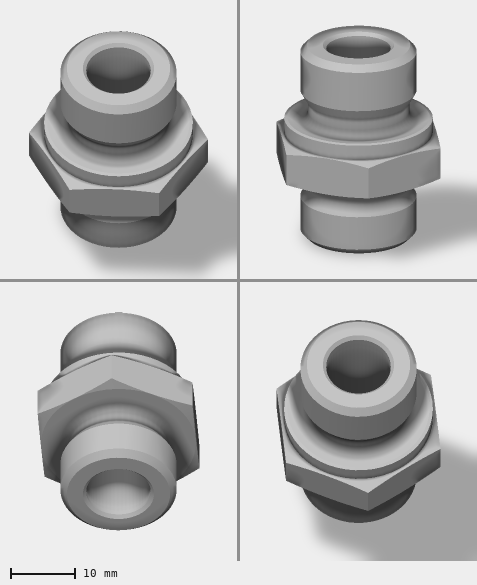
import cadquery as cq
import math

length = 31.5
hex_bottom = 11.0
hex_top = 17.0
collar_top = 19.5
lower_stud_end = 6.43
upper_stud_end = 24.1

stud_radius = 18.0 / 2
stud_chamfer = 1.0
groove_radius = 15.7 / 2
taper_angle = math.radians(30)
groove_blend = 1.0
bore_radius = 10.0 / 2
bore_chamfer = 0.5

collar_radius = 23.0 / 2
lip_radius = 11.0
lip_bevel_height = 0.13
seal_blend = 1.2
seal_angle = math.radians(8)

across_flats = 24.0
across_corners = across_flats / math.cos(math.pi / 6)
hex_chamfer_radius = 11.97
hex_chamfer_angle = math.radians(15)


def stud_profile(root_z, stud_end_z, end_z):
    """Half section of a chamfered stud and the tapered start of its groove."""
    outward = math.copysign(1, end_z - root_z)
    taper_length = (stud_radius - groove_radius) / math.tan(taper_angle)
    corner_z = stud_end_z - outward * taper_length
    tangent = groove_blend * math.tan(taper_angle / 2)
    groove_end_z = corner_z - outward * tangent
    arc_middle = (
        groove_radius + groove_blend * (1 - math.cos(taper_angle / 2)),
        groove_end_z + outward * groove_blend * math.sin(taper_angle / 2),
    )
    arc_end = (
        groove_radius + tangent * math.sin(taper_angle),
        corner_z + outward * tangent * math.cos(taper_angle),
    )
    return (
        cq.Workplane("XZ")
        .moveTo(0, root_z)
        .lineTo(groove_radius, root_z)
        .lineTo(groove_radius, groove_end_z)
        .threePointArc(arc_middle, arc_end)
        .lineTo(stud_radius, stud_end_z)
        .lineTo(stud_radius, end_z - outward * stud_chamfer)
        .lineTo(stud_radius - stud_chamfer, end_z)
        .lineTo(0, end_z)
        .close()
    )


def revolve_about_z(profile):
    return profile.revolve(360, (0, 0, 0), (0, 1, 0))


def make_hexagon():
    """Hexagon with corners on the Y axis and conical chamfers on both faces."""
    prism = (
        cq.Workplane("XY")
        .workplane(offset=hex_bottom)
        .transformed(rotate=(0, 0, 90))
        .polygon(6, across_corners)
        .extrude(hex_top - hex_bottom)
    )
    outer_radius = across_corners / 2 + 0.3
    drop = (outer_radius - hex_chamfer_radius) * math.tan(hex_chamfer_angle)
    envelope = revolve_about_z(
        cq.Workplane("XZ").polyline([
            (0, hex_bottom),
            (hex_chamfer_radius, hex_bottom),
            (outer_radius, hex_bottom + drop),
            (outer_radius, hex_top - drop),
            (hex_chamfer_radius, hex_top),
            (0, hex_top),
        ]).close()
    )
    return prism.intersect(envelope)


def make_collar():
    """Collar whose sealing face sinks inward and blends into the groove."""
    center_radius = groove_radius + seal_blend
    face_inner_radius = center_radius + seal_blend * math.sin(seal_angle)
    face_inner_z = collar_top - (lip_radius - face_inner_radius) * math.tan(seal_angle)
    center_z = face_inner_z + seal_blend * math.cos(seal_angle)
    middle = (
        center_radius - seal_blend * math.cos(math.pi / 4),
        center_z - seal_blend * math.sin(math.pi / 4),
    )
    return revolve_about_z(
        cq.Workplane("XZ")
        .moveTo(0, hex_top)
        .lineTo(collar_radius, hex_top)
        .lineTo(collar_radius, collar_top - lip_bevel_height)
        .lineTo(lip_radius, collar_top)
        .lineTo(face_inner_radius, face_inner_z)
        .threePointArc(middle, (groove_radius, center_z))
        .lineTo(0, center_z)
        .close()
    )


def make_lower_blend():
    """Concave fillet between the lower groove and the hexagon."""
    bend = groove_blend * (1 - math.cos(math.pi / 4))
    return revolve_about_z(
        cq.Workplane("XZ")
        .moveTo(0, hex_bottom)
        .lineTo(groove_radius + groove_blend, hex_bottom)
        .threePointArc(
            (groove_radius + bend, hex_bottom - bend),
            (groove_radius, hex_bottom - groove_blend),
        )
        .lineTo(0, hex_bottom - groove_blend)
        .close()
    )


def make_bore():
    """Through bore, countersunk at both ends."""
    mouth_radius = bore_radius + bore_chamfer
    return revolve_about_z(
        cq.Workplane("XZ").polyline([
            (0, 0),
            (mouth_radius, 0),
            (bore_radius, bore_chamfer),
            (bore_radius, length - bore_chamfer),
            (mouth_radius, length),
            (0, length),
        ]).close()
    )


lower_stud = revolve_about_z(stud_profile(hex_bottom, lower_stud_end, 0))
upper_stud = revolve_about_z(stud_profile(hex_top, upper_stud_end, length))

result = (
    make_hexagon()
    .union(make_collar())
    .union(make_lower_blend())
    .union(lower_stud)
    .union(upper_stud)
    .cut(make_bore())
)